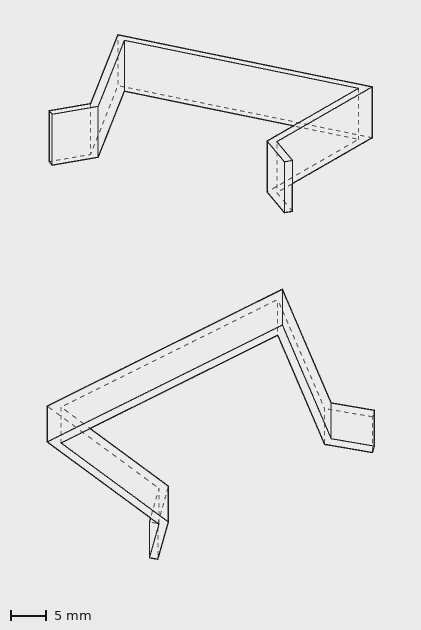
import cadquery as cq
import math

width = 39.07
depth = 26.15
height = 8.0
thickness = 1.2

elbow_x = 14.3
elbow_drop = 20.9
lip_angle = math.radians(45)

lip_tip_drop = depth - thickness * math.cos(lip_angle)
lip_tip_x = elbow_x + (lip_tip_drop - elbow_drop) / math.tan(lip_angle)

corner_x = width / 2
arm_lean = math.atan2(corner_x - elbow_x, elbow_drop)
arm_offset_x = thickness / math.cos(arm_lean)
inner_corner_x = corner_x - arm_offset_x - thickness * math.tan(arm_lean)

arm_normal_angle = -arm_lean
lip_normal_angle = lip_angle
mitre_angle = (arm_normal_angle + lip_normal_angle) / 2
mitre_length = thickness / math.cos((lip_normal_angle - arm_normal_angle) / 2)
inner_elbow_x = elbow_x - mitre_length * math.cos(mitre_angle)
inner_elbow_drop = elbow_drop + mitre_length * math.sin(mitre_angle)

half_outline = [
    (corner_x, 0),
    (elbow_x, -elbow_drop),
    (lip_tip_x, -lip_tip_drop),
    (lip_tip_x - thickness * math.sin(lip_angle), -depth),
    (inner_elbow_x, -inner_elbow_drop),
    (inner_corner_x, -thickness),
]
mirrored_half = [(-x, y) for x, y in reversed(half_outline)]

result = cq.Workplane("XY").polyline(half_outline + mirrored_half).close().extrude(height)